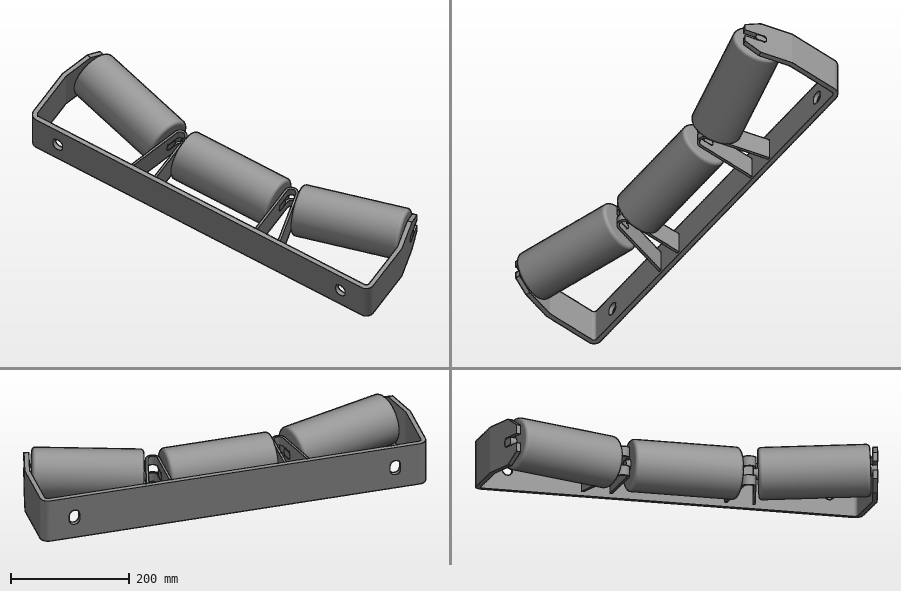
import cadquery as cq
import math

frame_width = 680.0
frame_height = 80.0
frame_thickness = 8.0
corner_inner_radius = 6.0
arm_bend_y = 105.0
arm_tilt = 15.0
arm_length = 86.5
arm_chamfer_length = 28.5
arm_chamfer_height = 17.0

mount_slot_width = 18.5
mount_slot_length = 28.0
mount_slot_x = 283.0

roller_diameter = 89.0
roller_length = 190.0
roller_fillet = 6.0
axle_diameter = 20.0
axle_flat_width = 14.0
center_roller_y = 101.0
center_roller_z = -7.5
side_axle_on_arm = 57.0
side_roller_rise = 2.0

bracket_thickness = 4.0
bracket_height = 50.0
bracket_inner_radius = 8.0
bracket_arc_y = 115.5
bracket_gap = 4.0

axle_slot_width = 16.0
axle_clearance = 0.4
slot_reach = 68.0

half_width = frame_width / 2
tilt = math.radians(arm_tilt)
axle_radius = axle_diameter / 2
bracket_radius = bracket_inner_radius + bracket_thickness

along_arm = cq.Vector(math.sin(tilt), math.cos(tilt), 0)
outward = cq.Vector(-math.cos(tilt), math.sin(tilt), 0)
up_y = cq.Vector(0, 1, 0)
right_x = cq.Vector(1, 0, 0)

arm_bend = cq.Vector(-half_width, arm_bend_y, 0)
bracket_face_x = -(roller_length / 2 + bracket_gap)
bracket_center = cq.Vector(bracket_face_x - bracket_radius, bracket_arc_y, 0)

arm_axle_point = arm_bend + along_arm * side_axle_on_arm
arm_face_distance = arm_bend.dot(outward) - frame_thickness
leg_face_distance = bracket_center.dot(outward) + bracket_radius
side_span = arm_face_distance - leg_face_distance
side_gap = (side_span - roller_length) / 2
arm_to_center = frame_thickness + side_span / 2
side_drop = arm_to_center * math.tan(math.radians(side_roller_rise))
side_roller_center = arm_axle_point - outward * arm_to_center - cq.Vector(0, 0, side_drop)
arm_to_leg = frame_thickness + side_span
leg_drop = arm_to_leg * math.tan(math.radians(side_roller_rise))
leg_axle_point = arm_axle_point - outward * arm_to_leg - cq.Vector(0, 0, leg_drop)
center_axle_point = cq.Vector(bracket_face_x, center_roller_y, center_roller_z)


def axle_slot(axle_point, open_direction, face_normal, depth):
    """Cutter for a slot with a round seat, sunk from the face at axle_point."""
    seat_radius = axle_radius + axle_clearance
    half_slot = axle_slot_width / 2
    seat_corner = -math.sqrt(seat_radius**2 - half_slot**2)
    plane = cq.Plane(origin=axle_point, xDir=open_direction, normal=face_normal)
    return (
        cq.Workplane(plane)
        .moveTo(slot_reach, half_slot)
        .lineTo(seat_corner, half_slot)
        .threePointArc((-seat_radius, 0), (seat_corner, -half_slot))
        .lineTo(slot_reach, -half_slot)
        .close()
        .extrude(-depth)
    )


def frame_half():
    """Left half of the frame, up to the middle plane."""
    inner_bend = arm_bend + cq.Vector(frame_thickness, -frame_thickness * math.tan(tilt / 2), 0)
    outer_tip = arm_bend + along_arm * arm_length
    inner_tip = outer_tip - outward * frame_thickness
    outline = [
        (0, 0),
        (-half_width, 0),
        (arm_bend.x, arm_bend.y),
        (outer_tip.x, outer_tip.y),
        (inner_tip.x, inner_tip.y),
        (inner_bend.x, inner_bend.y),
        (inner_bend.x, frame_thickness),
        (0, frame_thickness),
    ]
    half = cq.Workplane("XY").polyline(outline).close().extrude(frame_height / 2, both=True)

    outer_corner = cq.selectors.NearestToPointSelector((-half_width, 0, 0))
    inner_corner = cq.selectors.NearestToPointSelector((inner_bend.x, frame_thickness, 0))
    half = half.edges("|Z").edges(outer_corner).fillet(corner_inner_radius + frame_thickness)
    half = half.edges("|Z").edges(inner_corner).fillet(corner_inner_radius)

    arm_plane = cq.Plane(origin=arm_bend, xDir=along_arm, normal=outward)
    for side in (1, -1):
        corner = (
            cq.Workplane(arm_plane)
            .moveTo(arm_length, side * frame_height / 2)
            .lineTo(arm_length - arm_chamfer_length, side * frame_height / 2)
            .lineTo(arm_length, side * (frame_height / 2 - arm_chamfer_height))
            .close()
            .extrude(-frame_thickness)
        )
        half = half.cut(corner)

    half = half.cut(axle_slot(arm_axle_point, along_arm, outward, frame_thickness))

    mount_slot = (
        cq.Workplane("XZ")
        .center(-mount_slot_x, 0)
        .slot2D(mount_slot_length, mount_slot_width, 90)
        .extrude(-frame_thickness)
    )
    return half.cut(mount_slot)


def make_frame():
    half = frame_half()
    return half.union(half.mirror("YZ"))


def left_bracket():
    """Bent strip with a straight leg beside the center roller and a tilted leg beside the left one."""
    halfway = math.radians((180 - arm_tilt) / 2)
    crown = cq.Vector(math.cos(halfway), math.sin(halfway), 0)

    def bend_points(radius):
        straight_end = bracket_center + right_x * radius
        crown_point = bracket_center + crown * radius
        tilted_end = bracket_center + outward * radius
        foot_x = tilted_end.x - (tilted_end.y - frame_thickness) * math.tan(tilt)
        return straight_end, crown_point, tilted_end, foot_x

    outer_straight, outer_crown, outer_tilted, outer_foot_x = bend_points(bracket_radius)
    inner_straight, inner_crown, inner_tilted, inner_foot_x = bend_points(bracket_inner_radius)
    strip = (
        cq.Workplane("XY")
        .moveTo(outer_straight.x, frame_thickness)
        .lineTo(outer_straight.x, outer_straight.y)
        .threePointArc((outer_crown.x, outer_crown.y), (outer_tilted.x, outer_tilted.y))
        .lineTo(outer_foot_x, frame_thickness)
        .lineTo(inner_foot_x, frame_thickness)
        .lineTo(inner_tilted.x, inner_tilted.y)
        .threePointArc((inner_crown.x, inner_crown.y), (inner_straight.x, inner_straight.y))
        .lineTo(inner_straight.x, frame_thickness)
        .close()
        .extrude(bracket_height / 2, both=True)
        .translate((0, 0, center_roller_z))
    )
    strip = strip.cut(axle_slot(center_axle_point, up_y, right_x, bracket_radius))
    return strip.cut(axle_slot(leg_axle_point, along_arm, outward, bracket_radius))


def make_roller(gap, left_wall, right_wall):
    """Roller along X, its flattened axle ends reaching through the walls beside it."""
    roller = (
        cq.Workplane("YZ", origin=(-roller_length / 2, 0, 0))
        .circle(roller_diameter / 2)
        .extrude(roller_length)
        .faces("<X or >X")
        .edges()
        .fillet(roller_fillet)
    )
    shoulder = roller_length / 2 + gap - axle_clearance
    axle = cq.Workplane("YZ").circle(axle_radius).extrude(shoulder, both=True)

    left_end = -(roller_length / 2 + gap + left_wall)
    right_end = roller_length / 2 + gap + right_wall
    axle_length = right_end - left_end
    end_bar = cq.Workplane("YZ", origin=(left_end, 0, 0)).circle(axle_radius).extrude(axle_length)
    flat_block = (
        cq.Workplane("XY")
        .box(axle_length, axle_diameter, axle_flat_width)
        .translate(((left_end + right_end) / 2, 0, 0))
    )
    return roller.union(axle).union(end_bar.intersect(flat_block))


def left_roller():
    """Side roller with its outer end raised and swung square to the arm."""
    return (
        make_roller(side_gap, frame_thickness, bracket_thickness)
        .rotate((0, 0, 0), (0, 1, 0), side_roller_rise)
        .rotate((0, 0, 0), (0, 0, 1), -arm_tilt)
        .translate(side_roller_center)
    )


frame = make_frame()
center_roller = make_roller(bracket_gap, bracket_thickness, bracket_thickness).translate(
    (0, center_roller_y, center_roller_z)
)
bodies = [frame.val(), center_roller.val()]
for left_body in (left_bracket(), left_roller()):
    bodies.append(left_body.val())
    bodies.append(left_body.mirror("YZ").val())

result = cq.Compound.makeCompound(bodies)